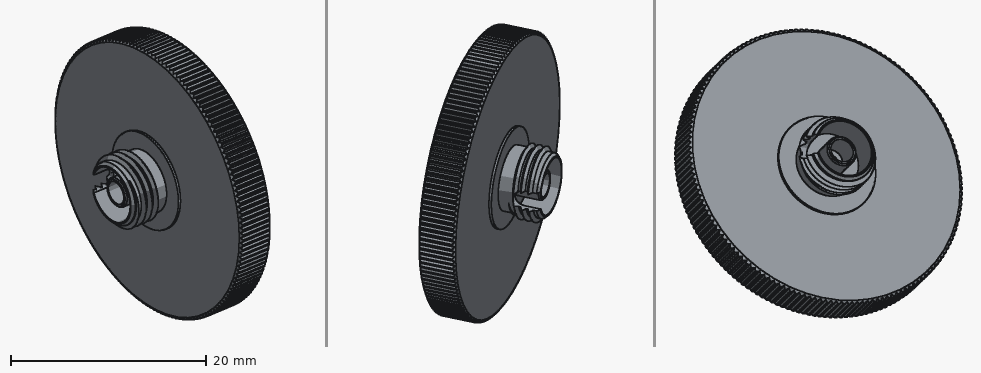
import cadquery as cq
import math


disc_radius = 15.25
disc_thickness = 4.03
disc_chamfer_length = 0.25
disc_chamfer_depth = 0.35
groove_count = 160
groove_depth = 0.2
groove_width = 0.43

passage_radius = 0.65

flange_radius = 5.4
flange_thickness = 0.27
barrel_radius = 3.48
barrel_length = 4.45
barrel_chamfer = 0.3
bore_radius = 3.02
bore_depth = 3.4

slot_width = 2.15
slot_length = 2.75

thread_crest_radius = 3.95
thread_buried_radius = 3.42
thread_half_angle = 30.0
thread_pitch = 0.8
thread_turns = 3
thread_front_angle = -50.0
thread_front_setback = 0.7
thread_front_fade_angle = 105.0
thread_back_fade_angle = 125.0
thread_fade_scale = 0.05
thread_step_angle = 10.0

sleeve_radius = 1.62
sleeve_bore_radius = 1.25
sleeve_chamfer = 0.15
sleeve_recess = 0.6

flange_back_y = -disc_thickness
flange_front_y = flange_back_y - flange_thickness
barrel_front_y = flange_front_y - barrel_length
bore_floor_y = barrel_front_y + bore_depth
sleeve_front_y = barrel_front_y + sleeve_recess


def cylinder(radius, back_y, front_y):
    """Cylinder on the Y axis between two places along it."""
    return cq.Workplane("XZ", origin=(0, back_y, 0)).circle(radius).extrude(back_y - front_y)


def polar_point(radius, angle):
    """Point of the XZ sketch plane at an angle in radians."""
    return (radius * math.cos(angle), radius * math.sin(angle))


def knurl_outline():
    """Circle of flat-topped teeth with a V groove between each pair."""
    pitch_angle = 2 * math.pi / groove_count
    half_groove_angle = groove_width / 2 / disc_radius
    root_radius = disc_radius - groove_depth
    outline = cq.Workplane("XZ").moveTo(*polar_point(root_radius, 0))
    for index in range(groove_count):
        groove_angle = index * pitch_angle
        next_angle = groove_angle + pitch_angle
        outline = outline.lineTo(*polar_point(disc_radius, groove_angle + half_groove_angle))
        outline = outline.threePointArc(
            polar_point(disc_radius, groove_angle + pitch_angle / 2),
            polar_point(disc_radius, next_angle - half_groove_angle),
        )
        if index < groove_count - 1:
            outline = outline.lineTo(*polar_point(root_radius, next_angle))
    return outline.close()


def make_disc():
    """Knurled disc with chamfered rims and the central passage."""
    knurled = knurl_outline().extrude(disc_thickness)
    rim_radius = disc_radius - disc_chamfer_depth
    half_profile = [
        (0, 0),
        (rim_radius, 0),
        (disc_radius, -disc_chamfer_length),
        (disc_radius, disc_chamfer_length - disc_thickness),
        (rim_radius, -disc_thickness),
        (0, -disc_thickness),
    ]
    blank = cq.Workplane("XY").polyline(half_profile).close().revolve(360, (0, 0, 0), (0, 1, 0))
    return knurled.intersect(blank).cut(cylinder(passage_radius, 0, -disc_thickness))


def helix_edge(start_angle, end_angle, start_section, end_section):
    """Curve along the thread; a section is (radius, shift along Y) and blends between the ends."""
    start_radius, start_shift = start_section
    end_radius, end_shift = end_section
    step_count = math.ceil((end_angle - start_angle) / thread_step_angle)
    points = []
    for step in range(step_count + 1):
        fraction = step / step_count
        angle = start_angle + fraction * (end_angle - start_angle)
        radius = start_radius + fraction * (end_radius - start_radius)
        shift = start_shift + fraction * (end_shift - start_shift)
        advance = thread_pitch * (angle - thread_front_angle) / 360
        x, z = polar_point(radius, math.radians(angle))
        points.append(cq.Vector(x, barrel_front_y + thread_front_setback - advance + shift, z))
    return cq.Edge.makeSpline(points)


def ridge_section(scale):
    """V section as (radius, shift along Y) corners: back root, crest, front root."""
    height = scale * (thread_crest_radius - thread_buried_radius)
    half_width = height * math.tan(math.radians(thread_half_angle))
    return [
        (thread_buried_radius, half_width),
        (thread_buried_radius + height, 0),
        (thread_buried_radius, -half_width),
    ]


def ridge_length(start_angle, end_angle, start_scale, end_scale):
    """Solid stretch of the thread ridge whose section scales from one end to the other."""
    corners = zip(ridge_section(start_scale), ridge_section(end_scale))
    edges = [helix_edge(start_angle, end_angle, start, end) for start, end in corners]
    faces = [cq.Face.makeRuledSurface(edges[i - 1], edges[i]) for i in range(len(edges))]
    for end_points in ([e.startPoint() for e in edges], [e.endPoint() for e in edges]):
        faces.append(cq.Face.makeFromWires(cq.Wire.makePolygon(end_points, close=True)))
    return cq.Workplane(cq.Solid.makeSolid(cq.Shell.makeShell(faces)).fix())


def add_thread(barrel):
    """Join the full turns and both fading ends to the barrel."""
    front_angle = thread_front_angle
    back_angle = front_angle - 360 * thread_turns
    fade_start = back_angle - thread_back_fade_angle
    fade_end = front_angle + thread_front_fade_angle
    barrel = barrel.union(ridge_length(fade_start, back_angle, thread_fade_scale, 1))
    for turn in range(thread_turns):
        turn_start = back_angle + 360 * turn
        barrel = barrel.union(ridge_length(turn_start, turn_start + 360, 1, 1))
    return barrel.union(ridge_length(front_angle, fade_end, 1, thread_fade_scale))


def key_slot():
    """Round-ended slot cutter running in from the barrel's front on the -X side."""
    end_center_y = barrel_front_y + slot_length - slot_width / 2
    straight = cq.Workplane("XY").box(
        thread_crest_radius, end_center_y - barrel_front_y, slot_width, centered=(False, False, True)
    )
    straight = straight.translate((-thread_crest_radius, barrel_front_y, 0))
    round_end = cq.Workplane("YZ").center(end_center_y, 0).circle(slot_width / 2)
    round_end = round_end.extrude(-thread_crest_radius)
    return straight.union(round_end)


def make_receptacle():
    """Flange and threaded barrel with its bore, key slot and central passage."""
    flange = cylinder(flange_radius, flange_back_y, flange_front_y)
    barrel = cylinder(barrel_radius, flange_front_y, barrel_front_y)
    barrel = barrel.faces("<Y").edges().chamfer(barrel_chamfer)
    barrel = add_thread(barrel)
    receptacle = flange.union(barrel)
    receptacle = receptacle.cut(cylinder(bore_radius, bore_floor_y, barrel_front_y))
    receptacle = receptacle.cut(key_slot())
    return receptacle.cut(cylinder(passage_radius, flange_back_y, bore_floor_y))


def make_sleeve():
    """Tube that stands on the floor of the bore, chamfered outside at its front."""
    tube = cylinder(sleeve_radius, bore_floor_y, sleeve_front_y)
    tube = tube.faces("<Y").edges().chamfer(sleeve_chamfer)
    return tube.cut(cylinder(sleeve_bore_radius, bore_floor_y, sleeve_front_y))


disc = make_disc()
receptacle = make_receptacle()
sleeve = make_sleeve()

bodies = [disc, receptacle, sleeve]
result = cq.Compound.makeCompound([body.solids().val() for body in bodies])